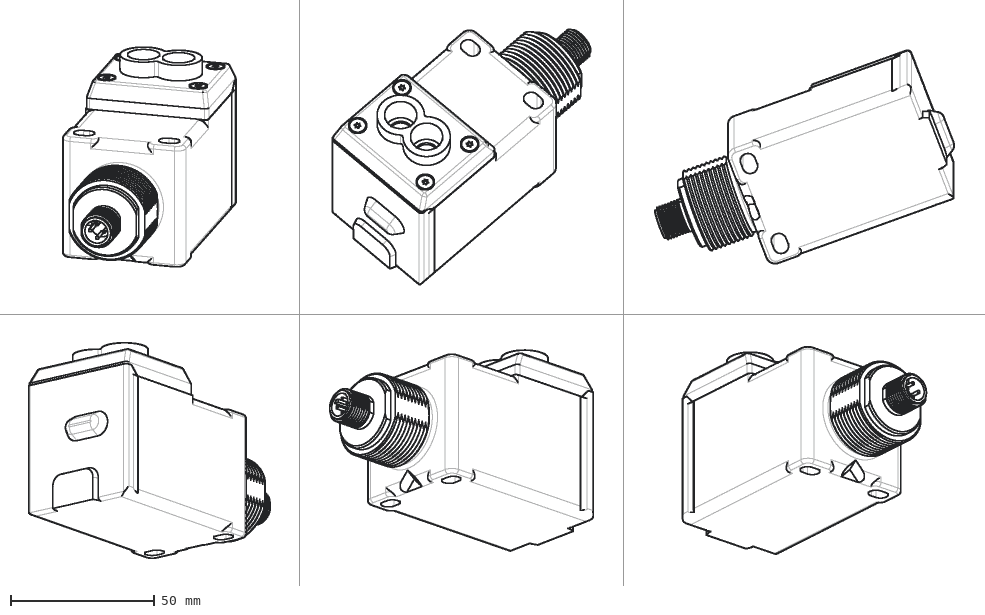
import cadquery as cq
import math

WIDTH = 44.5
BODY_HEIGHT = 44.5
BODY_LENGTH = 69.0
CORNER_R = 3.3
PAD_EDGE_R = 1.3
FRONT_BLOCK_LENGTH = 21.2
BACK_LIP_HEIGHT = 47.7
BACK_LIP_DEPTH = 3.1
COVER_GROOVE_Y = 62.2
COVER_GROOVE_LENGTH = 3.0
COVER_GROOVE_DEPTH = 0.3

CLEARANCE = 1.1
PAD_CORNER_R = 3.2
CAP_CORNER_R = 1.2
SIDE_RECESS_START = 10.0
TOP_RECESS_END = 32.2
FRONT_RECESS_LENGTH = 22.8
NOTCH_HEIGHT = 6.4
NOTCH_INNER_HEIGHT = 3.8
NOTCH_DEPTH = 3.2

SEAM_STEP = 0.1
CAP_FRONT_Y = 31.7
CAP_BACK_SETBACK = 0.3
CAP_BACK_Y = BODY_LENGTH - CAP_BACK_SETBACK
CAP_SHOULDER_Z = 48.6
CAP_TOP_Z = 54.3
CAP_SIDE_INSET = 1.6
CAP_END_INSET = 3.1
CAP_TOP_R = 1.3
CAP_WIDTH = WIDTH - 2 * SEAM_STEP
CAP_LENGTH = CAP_BACK_Y - CAP_FRONT_Y
CAP_MID_Y = (CAP_FRONT_Y + CAP_BACK_Y) / 2

TOTAL_HEIGHT = 60.0
LENS_SPACING = 12.7
LENS_CENTRES = [(-LENS_SPACING / 2, 0), (LENS_SPACING / 2, 0)]
BARREL_R = 8.3
LENS_Y = 50.3
BARREL_WAIST_R = 1.1
BORE_R = 5.6
BORE_DEPTH = 10.6
LENS_R = 4.1
LENS_DEPTH = 1.1

SCREW_SPACING_X = 33.3
SCREW_SPACING_Y = 22.1
SCREW_HOLE_R = 3.2
SCREW_HEAD_R = 2.9
SCREW_GAP_DEPTH = 0.3
SOCKET_OUTER_R = 1.2
SOCKET_INNER_R = 0.6
SOCKET_DEPTH = 0.5
SOCKET_LOBES = 6

SLOT_LENGTH = 7.4
SLOT_WIDTH = 5.3
SLOT_SPACING = 31.0
SLOT_Y = 6.4

WINDOW_X = -4.8
WINDOW_Z = 28.0
WINDOW_LENGTH = 18.2
WINDOW_WIDTH = 8.9
WINDOW_HEIGHT = 4.3
WINDOW_TAPER = 30.0
WINDOW_TIP_R = 2.8
PLATE_WIDTH = 19.5
PLATE_TOP_Z = 12.6
PLATE_CORNER_R = 4.5
PLATE_HEIGHT = 2.1
PLATE_TAPER = 20.0

STEM_Z = 22.2
NECK_R = 13.8
NECK_ROOT_R = 1.3
NECK_LENGTH = 2.8
BIG_THREAD_R = 15.1
BIG_THREAD_DEPTH = 1.0
BIG_THREAD_COUNT = 10
BIG_THREAD_CHAMFER = 0.5
BIG_THREAD_LENGTH = 16.2
BIG_FLAT_WIDTH = 27.6
COLLAR_R = 12.7
COLLAR_LENGTH = 2.8
COLLAR_CHAMFER = 0.6
COLLAR_FLAT_WIDTH = 23.0
PLUG_LENGTH = 10.9
PLUG_NECK_LENGTH = 1.9
PLUG_THREAD_R = 6.0
PLUG_THREAD_DEPTH = 0.6
PLUG_THREAD_COUNT = 8
PLUG_TIP_R = 5.2
PLUG_TIP_LENGTH = 1.0
PLUG_FLAT_WIDTH = 11.3
PLUG_BORE_R = 4.1
PLUG_BORE_DEPTH = 7.4
PIN_R = 0.5
PIN_CIRCLE_R = 2.5
PIN_LENGTH = 6.4
PIN_COUNT = 4
KEY_X = -2.0
KEY_Z = 1.8
KEY_WIDTH = 1.8
KEY_HEIGHT = 1.2


def recess_end(radius):
    """Upright post that stops a recess at X = 0, with a rounded corner towards the outside."""
    return (
        cq.Workplane("XY", origin=(0, 0, -CORNER_R))
        .lineTo(0, CORNER_R)
        .lineTo(radius, CORNER_R)
        .lineTo(radius, radius)
        .radiusArc((0, 0), radius)
        .close()
        .extrude(CORNER_R)
    )


def pad_end():
    """Recess end at a corner pad, whose small edge round runs on around the corner."""
    return recess_end(PAD_CORNER_R).faces(">Z").edges(">X or %CIRCLE").fillet(PAD_EDGE_R)


def edge_recess(length, far_end=None):
    """Cutter for a rounded recess along +X, below and behind the edge on the X axis.

    It starts at a corner pad and stops at far_end, or square when there is none.
    """
    cutter = (
        cq.Workplane("YZ")
        .moveTo(-CLEARANCE, CLEARANCE)
        .lineTo(CORNER_R, CLEARANCE)
        .lineTo(CORNER_R, 0)
        .radiusArc((0, -CORNER_R), -CORNER_R)
        .lineTo(-CLEARANCE, -CORNER_R)
        .close()
        .extrude(length)
        .cut(pad_end())
    )
    if far_end:
        cutter = cutter.cut(far_end.mirror("YZ").translate((length, 0, 0)))
    return cutter


def side_recess(end_y, far_end=None):
    """Cutter for the recess along the top edge of the +X side, from the pads back to end_y."""
    cutter = edge_recess(end_y - SIDE_RECESS_START, far_end)
    return cutter.rotate((0, 0, 0), (0, 0, 1), 90).translate((WIDTH / 2, SIDE_RECESS_START, BODY_HEIGHT))


def flip_to_bottom(cutter):
    """Mirror a cutter from the top edge of the body to the bottom edge."""
    return cutter.translate((0, 0, -BODY_HEIGHT)).mirror("XY")


def make_body():
    front = (
        cq.Workplane("XY")
        .box(WIDTH, FRONT_BLOCK_LENGTH, BODY_HEIGHT, centered=(True, False, False))
        .edges("|Z and <Y").fillet(CORNER_R)
        .faces("<Z or >Z").edges("not >Y").fillet(PAD_EDGE_R)
    )
    rear_outline = [
        (FRONT_BLOCK_LENGTH, 0),
        (BODY_LENGTH, 0),
        (BODY_LENGTH, BACK_LIP_HEIGHT),
        (BODY_LENGTH - BACK_LIP_DEPTH, BACK_LIP_HEIGHT),
        (BODY_LENGTH - BACK_LIP_DEPTH - (BACK_LIP_HEIGHT - BODY_HEIGHT), BODY_HEIGHT),
        (FRONT_BLOCK_LENGTH, BODY_HEIGHT),
    ]
    rear = (
        cq.Workplane("YZ")
        .polyline(rear_outline).close()
        .extrude(WIDTH / 2, both=True)
        .edges("(|Z and >Y) or (|X and >Y and <Z)").fillet(PAD_EDGE_R)
    )
    body = front.union(rear)

    top_side = side_recess(TOP_RECESS_END, recess_end(CAP_CORNER_R))
    bottom_side = flip_to_bottom(side_recess(BODY_LENGTH))
    for cutter in (top_side, bottom_side):
        body = body.cut(cutter).cut(cutter.mirror("YZ"))
    top_front = edge_recess(FRONT_RECESS_LENGTH, pad_end())
    top_front = top_front.translate((-FRONT_RECESS_LENGTH / 2, 0, BODY_HEIGHT))
    body = body.cut(top_front).cut(flip_to_bottom(top_front))

    notch = (
        cq.Workplane("XZ")
        .polyline([(-NOTCH_HEIGHT, 0), (NOTCH_HEIGHT, 0), (0, NOTCH_HEIGHT)]).close()
        .workplane(offset=-NOTCH_DEPTH)
        .polyline([(-NOTCH_INNER_HEIGHT, 0), (NOTCH_INNER_HEIGHT, 0), (0, NOTCH_INNER_HEIGHT)]).close()
        .loft(ruled=True)
    )
    body = body.cut(notch)

    groove = (
        cq.Workplane("XY")
        .polyline([
            (WIDTH / 2, COVER_GROOVE_Y),
            (WIDTH / 2 - COVER_GROOVE_DEPTH, COVER_GROOVE_Y),
            (WIDTH / 2, COVER_GROOVE_Y + COVER_GROOVE_LENGTH),
        ]).close()
        .extrude(BODY_HEIGHT)
    )
    return body.cut(groove).cut(groove.mirror("YZ"))


def rounded_rectangle(width, length):
    return cq.Sketch().rect(width, length).vertices().fillet(PAD_EDGE_R)


def make_cap():
    foot = rounded_rectangle(CAP_WIDTH, CAP_LENGTH)
    top = rounded_rectangle(CAP_WIDTH - 2 * CAP_SIDE_INSET, CAP_LENGTH - 2 * CAP_END_INSET)
    crown_height = CAP_TOP_Z - CAP_SHOULDER_Z
    crown = (
        cq.Workplane("XY", origin=(0, CAP_MID_Y, CAP_SHOULDER_Z))
        .placeSketch(foot, top.moved(cq.Location(cq.Vector(0, 0, crown_height))))
        .loft(ruled=True)
        .faces(">Z").edges().fillet(CAP_TOP_R)
    )
    base = (
        cq.Workplane("XY", origin=(0, CAP_MID_Y, BODY_HEIGHT))
        .placeSketch(foot)
        .extrude(CAP_SHOULDER_Z - BODY_HEIGHT)
    )
    return base.union(crown)


def make_barrels():
    height = TOTAL_HEIGHT - CAP_TOP_Z
    plane = cq.Workplane("XY", origin=(0, LENS_Y, CAP_TOP_Z))
    barrels = plane.pushPoints(LENS_CENTRES[:1]).circle(BARREL_R).extrude(height)
    barrels = barrels.union(plane.pushPoints(LENS_CENTRES[1:]).circle(BARREL_R).extrude(height))
    waist = cq.selectors.BoxSelector(
        (-CLEARANCE, 0, CAP_TOP_Z), (CLEARANCE, BODY_LENGTH, TOTAL_HEIGHT)
    )
    return barrels.edges("|Z").edges(waist).fillet(BARREL_WAIST_R)


def cut_lens_bores(part):
    plane = cq.Workplane("XY", origin=(0, LENS_Y, TOTAL_HEIGHT))
    part = part.cut(plane.pushPoints(LENS_CENTRES).circle(BORE_R).extrude(-BORE_DEPTH))
    return part.cut(plane.pushPoints(LENS_CENTRES).circle(LENS_R).extrude(-BORE_DEPTH - LENS_DEPTH))


def cut_screws(part):
    star = []
    for i in range(2 * SOCKET_LOBES):
        radius = SOCKET_INNER_R if i % 2 else SOCKET_OUTER_R
        angle = math.pi / 2 + math.pi * i / SOCKET_LOBES
        star.append((radius * math.cos(angle), radius * math.sin(angle)))
    plane = cq.Workplane("XY", origin=(0, LENS_Y, CAP_TOP_Z))
    gap = plane.circle(SCREW_HOLE_R).circle(SCREW_HEAD_R).extrude(-SCREW_GAP_DEPTH)
    socket = plane.polyline(star).close().extrude(-SOCKET_DEPTH)
    for side in (-1, 1):
        for end in (-1, 1):
            place = (side * SCREW_SPACING_X / 2, end * SCREW_SPACING_Y / 2, 0)
            part = part.cut(gap.translate(place)).cut(socket.translate(place))
    return part


def cut_mounting_slots(part):
    slots = (
        cq.Workplane("XY")
        .pushPoints([(-SLOT_SPACING / 2, SLOT_Y), (SLOT_SPACING / 2, SLOT_Y)])
        .slot2D(SLOT_LENGTH, SLOT_WIDTH)
        .extrude(BODY_HEIGHT)
    )
    return part.cut(slots)


def make_back_features():
    window = (
        cq.Workplane("XZ", origin=(WINDOW_X, BODY_LENGTH, WINDOW_Z))
        .slot2D(WINDOW_LENGTH, WINDOW_WIDTH)
        .extrude(-WINDOW_HEIGHT, taper=WINDOW_TAPER)
        .faces(">Y").edges().fillet(WINDOW_TIP_R)
    )
    plate = (
        cq.Workplane("XZ", origin=(0, BODY_LENGTH, 0))
        .sketch().rect(PLATE_WIDTH, 2 * PLATE_TOP_Z).vertices().fillet(PLATE_CORNER_R).finalize()
        .extrude(-PLATE_HEIGHT, taper=PLATE_TAPER)
    )
    keep = cq.Workplane("XY").box(WIDTH, 4 * BODY_LENGTH, BODY_HEIGHT, centered=(True, True, False))
    foot = (
        cq.Workplane("XY", origin=(0, BODY_LENGTH - PAD_EDGE_R, 0))
        .box(PLATE_WIDTH, PAD_EDGE_R, PLATE_TOP_Z / 2, centered=(True, False, False))
    )
    return window.union(plate.intersect(keep)).union(foot)


def thread_points(start_y, length, count, crest_r, depth):
    """Zigzag of (radius, y) points for a ringed thread running towards -Y and ending on a crest."""
    pitch = length / (count - 0.5)
    points = []
    for i in range(count):
        points.append((crest_r - depth, start_y - i * pitch))
        points.append((crest_r, start_y - (i + 0.5) * pitch))
    return points


def turned(points):
    """Solid of revolution about the stem axis from (radius, y) points."""
    outline = [(0, points[0][1])] + points + [(0, points[-1][1])]
    solid = cq.Workplane("XY").polyline(outline).close().revolve(360, (0, 0), (0, 1))
    return solid.translate((0, 0, STEM_Z))


def with_flats(solid, width):
    """Trim a turned solid to parallel flats facing +X and -X."""
    return solid.intersect(cq.Workplane("XY").box(width, 4 * BODY_LENGTH, 4 * BODY_HEIGHT))


def make_stem():
    thread_y = -NECK_LENGTH
    collar_y = thread_y - BIG_THREAD_LENGTH
    plug_y = collar_y - COLLAR_LENGTH
    tip_y = plug_y - PLUG_LENGTH
    plug_thread_y = plug_y - PLUG_NECK_LENGTH
    plug_thread_length = PLUG_LENGTH - PLUG_NECK_LENGTH - PLUG_TIP_LENGTH

    neck = (
        cq.Workplane("XY")
        .lineTo(NECK_R + NECK_ROOT_R, 0)
        .radiusArc((NECK_R, -NECK_ROOT_R), -NECK_ROOT_R)
        .lineTo(NECK_R, thread_y)
        .lineTo(0, thread_y)
        .close()
        .revolve(360, (0, 0), (0, 1))
        .translate((0, 0, STEM_Z))
    )
    big_thread = turned(
        thread_points(
            thread_y,
            BIG_THREAD_LENGTH - BIG_THREAD_CHAMFER,
            BIG_THREAD_COUNT,
            BIG_THREAD_R,
            BIG_THREAD_DEPTH,
        )
        + [(BIG_THREAD_R - BIG_THREAD_CHAMFER, collar_y)]
    )
    collar = turned([
        (COLLAR_R, collar_y),
        (COLLAR_R, plug_y + COLLAR_CHAMFER),
        (COLLAR_R - COLLAR_CHAMFER, plug_y),
    ])
    plug = turned(
        [(PLUG_THREAD_R, plug_y), (PLUG_THREAD_R, plug_thread_y)]
        + thread_points(
            plug_thread_y, plug_thread_length, PLUG_THREAD_COUNT, PLUG_THREAD_R, PLUG_THREAD_DEPTH
        )
        + [(PLUG_TIP_R, tip_y + PLUG_TIP_LENGTH), (PLUG_TIP_R, tip_y)]
    )
    stem = (
        neck
        .union(with_flats(big_thread, BIG_FLAT_WIDTH))
        .union(with_flats(collar, COLLAR_FLAT_WIDTH))
        .union(with_flats(plug, PLUG_FLAT_WIDTH))
    )

    mouth = cq.Workplane("XZ", origin=(0, tip_y, STEM_Z))
    floor = cq.Workplane("XZ", origin=(0, tip_y + PLUG_BORE_DEPTH, STEM_Z))
    pins = floor.polarArray(PIN_CIRCLE_R, 0, 360, PIN_COUNT).circle(PIN_R).extrude(PIN_LENGTH)
    key = (
        floor.center(KEY_X - KEY_WIDTH / 2, KEY_Z + KEY_HEIGHT / 2)
        .rect(KEY_WIDTH, KEY_HEIGHT)
        .extrude(PIN_LENGTH)
    )
    return stem.cut(mouth.circle(PLUG_BORE_R).extrude(-PLUG_BORE_DEPTH)).union(pins).union(key)


housing = make_body().union(make_cap()).union(make_barrels())
housing = cut_lens_bores(housing)
housing = cut_screws(housing)
housing = cut_mounting_slots(housing)
result = housing.union(make_back_features()).union(make_stem())